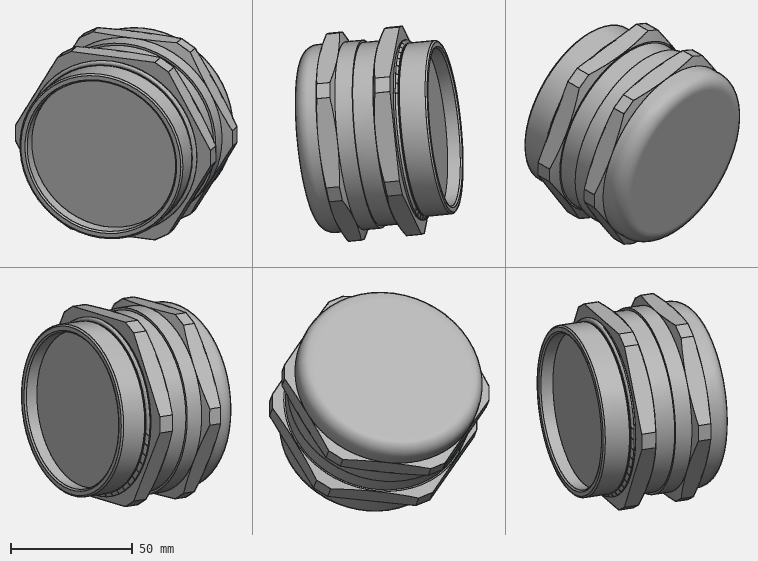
import cadquery as cq
import math


total_length = 56.0
groove_start = 11.6
body_hex_start = 14.0
body_hex_end = 22.1
collar_start = 30.8
nut_hex_start = 38.1
nut_hex_end = 46.1

across_flats = 78.0
across_corners = 86.1
nut_chamfer_length = 1.2
body_chamfer_length = 1.7
body_face_radius = 38.7

entry_radius = 36.0
entry_chamfer = 0.7
groove_radius = 35.6
neck_radius = 38.0
nut_radius = across_flats / 2
dome_radius = 6.1

ring_radius = 37.4
ring_tube_radius = 1.0

bore_radius = 32.8
bore_chamfer = 0.7
bore_depth = 6.0


def ring_of_revolution(profile):
    """Turn a profile drawn as (radius, axial place) about the Y axis."""
    return profile.close().revolve(360, (0, 0, 0), (0, 1, 0))


def disc(radius, start, end):
    """Cylinder on the Y axis between two axial stations."""
    return ring_of_revolution(
        cq.Workplane("XY").moveTo(0, start).lineTo(radius, start).lineTo(radius, end).lineTo(0, end)
    )


def hex_prism(flats, start, end, turn):
    """Hexagonal prism along Y; turn = 0 puts corners on the X axis."""
    return (
        cq.Workplane("XZ", origin=(0, start, 0))
        .polygon(6, flats / math.cos(math.pi / 6))
        .extrude(start - end)
        .rotate((0, 0, 0), (0, 1, 0), turn)
    )


def wrench_hex(start, end, face_radius, front_chamfer, back_chamfer):
    """Hexagon with truncated corners and conical chamfers fading out at the middle of each flat."""
    corner_radius = across_corners / 2
    hexagon = hex_prism(across_flats, start, end, 0)
    hexagon = hexagon.intersect(hex_prism(across_corners, start, end, 30))

    reach = 2.0
    outer_radius = face_radius + reach * (corner_radius - face_radius)
    cones = ring_of_revolution(
        cq.Workplane("XY")
        .moveTo(0, start)
        .lineTo(face_radius, start)
        .lineTo(outer_radius, start + reach * front_chamfer)
        .lineTo(outer_radius, end - reach * back_chamfer)
        .lineTo(face_radius, end)
        .lineTo(0, end)
    )
    return hexagon.intersect(cones)


def entry():
    """Round entry with a chamfered mouth."""
    return disc(entry_radius, 0, groove_start).faces("<Y").chamfer(entry_chamfer)


def sealing_ring():
    """Round-section ring seated against the body hexagon."""
    seat = cq.Vector(0, body_hex_start - ring_tube_radius, 0)
    axis = cq.Vector(0, 1, 0)
    return cq.Workplane(cq.Solid.makeTorus(ring_radius - ring_tube_radius, ring_tube_radius, seat, axis))


def nut():
    """Domed round nut carrying its own hexagon."""
    dome = disc(nut_radius, collar_start, total_length).faces(">Y").edges().fillet(dome_radius)
    hexagon = wrench_hex(nut_hex_start, nut_hex_end, nut_radius, nut_chamfer_length, nut_chamfer_length)
    return dome.union(hexagon)


def bore():
    """Blind bore with a chamfered mouth."""
    return ring_of_revolution(
        cq.Workplane("XY")
        .lineTo(bore_radius + bore_chamfer, 0)
        .lineTo(bore_radius, bore_chamfer)
        .lineTo(bore_radius, bore_depth)
        .lineTo(0, bore_depth)
    )


result = (
    entry()
    .union(disc(groove_radius, groove_start, body_hex_start))
    .union(sealing_ring())
    .union(wrench_hex(body_hex_start, body_hex_end, body_face_radius, 0, body_chamfer_length))
    .union(disc(neck_radius, body_hex_end, collar_start))
    .union(nut())
    .cut(bore())
)